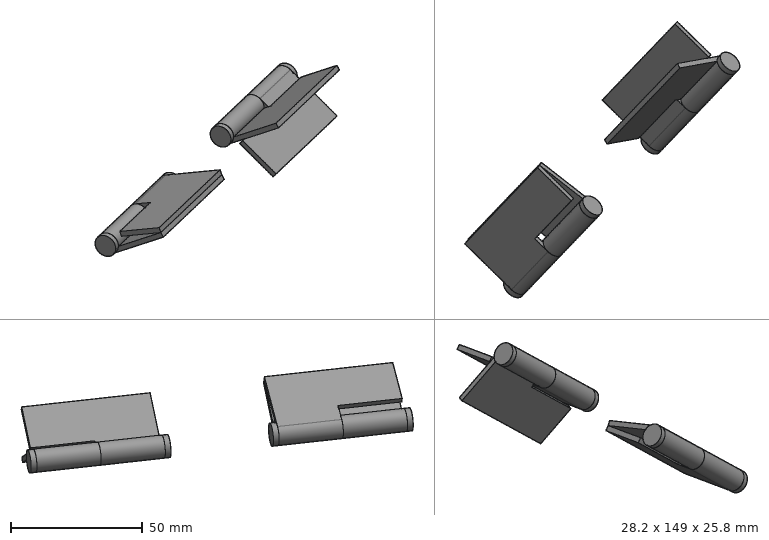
import cadquery as cq
import math

overall_length = 149.0
knuckle_radius = 4.5
leaf_thickness = 2.1
leaf_reach = 25.0
leaf_length = 50.0
notch_reach = 7.0
head_length = 2.2

closed_bisector = 25.5
open_upper_angle = -36.8

inner_face = knuckle_radius - leaf_thickness
pin_radius = inner_face
knuckle_length = leaf_length / 2
hinge_length = leaf_length + 2 * head_length
hinge_offset = (overall_length - hinge_length) / 2
closed_half_angle = math.degrees(math.atan2(inner_face, leaf_reach))
closed_upper_angle = closed_bisector - closed_half_angle
lower_angle = closed_bisector + closed_half_angle


def extrude_along_y(sketch, length):
    """Extrude an XZ sketch toward +Y."""
    return sketch.extrude(-length)


def make_pin():
    """Pin along Y, centred on the origin, with a head at each end."""
    pin = cq.Workplane("XZ").circle(pin_radius).extrude(leaf_length / 2, both=True)
    for head_start in (-hinge_length / 2, leaf_length / 2):
        sketch = cq.Workplane("XZ", origin=(0, head_start, 0)).circle(knuckle_radius)
        pin = pin.union(extrude_along_y(sketch, head_length))
    return pin


def make_leaf():
    """Flat leaf along +X, its top tangent to a knuckle on the +Y half."""
    knuckle = extrude_along_y(cq.Workplane("XZ").circle(knuckle_radius), knuckle_length)
    knuckle_plate = cq.Workplane("XY").box(
        leaf_reach, knuckle_length, leaf_thickness, centered=False
    ).translate((0, 0, inner_face))
    notched_half = cq.Workplane("XY").box(
        leaf_reach - notch_reach, knuckle_length, leaf_thickness, centered=False
    ).translate((notch_reach, -knuckle_length, inner_face))
    pin_hole = cq.Workplane("XZ").circle(pin_radius).extrude(leaf_length, both=True)
    return knuckle.union(knuckle_plate).union(notched_half).cut(pin_hole)


def make_upper_leaf(angle):
    """Leaf with its knuckle on the +Y half, raised by the angle."""
    return make_leaf().rotate((0, 0, 0), (0, 1, 0), -angle)


def make_lower_leaf(angle):
    """Same leaf turned over about X, so its knuckle is on the -Y half."""
    turned_over = make_leaf().rotate((0, 0, 0), (1, 0, 0), 180)
    return turned_over.rotate((0, 0, 0), (0, 1, 0), -angle)


pins = []
upper_leaves = []
lower_leaves = []
for hinge_y, upper_angle in ((-hinge_offset, closed_upper_angle), (hinge_offset, open_upper_angle)):
    place = (0, hinge_y, 0)
    pins.append(make_pin().translate(place).val())
    upper_leaves.append(make_upper_leaf(upper_angle).translate(place).val())
    lower_leaves.append(make_lower_leaf(lower_angle).translate(place).val())

result = cq.Compound.makeCompound([*pins, *upper_leaves, *lower_leaves])